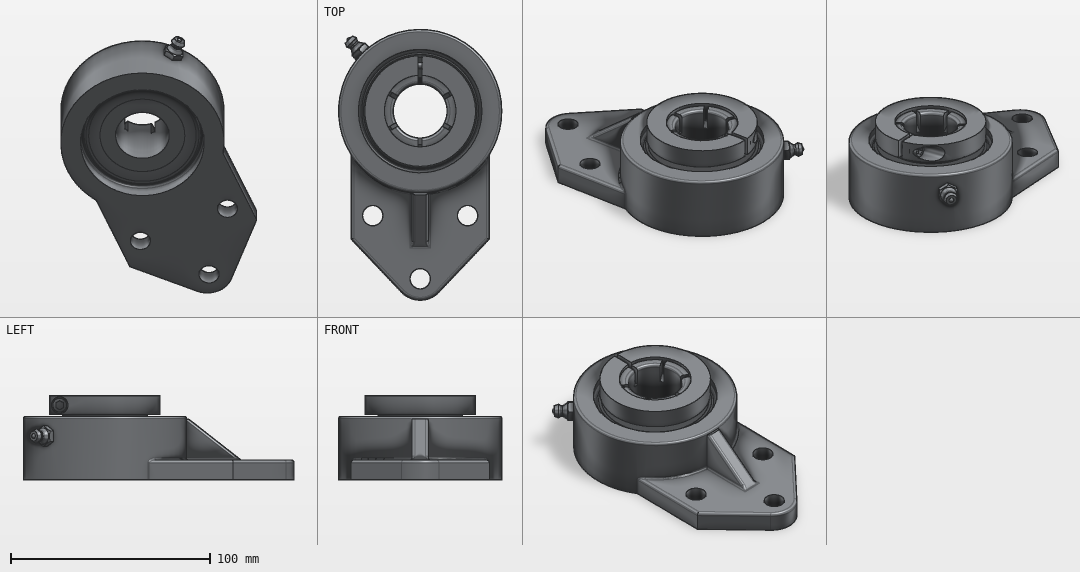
import cadquery as cq
import math

OVERALL_LENGTH = 136.0
BOSS_DIAMETER = 82.0
BOSS_RADIUS = BOSS_DIAMETER / 2
BOSS_HEIGHT = 32.0
BOSS_EDGE_FILLET = 1.2

PLATE_HALF_WIDTH = 34.7
PLATE_THICKNESS = 10.0
PLATE_SHOULDER_Y = -64.3
PLATE_TIP_Y = BOSS_RADIUS - OVERALL_LENGTH
PLATE_TIP_RADIUS = 12.9
PLATE_EDGE_FILLET = 1.5
FOOT_FILLET = 1.02
SELECTION_MARGIN = 0.07

BOLT_HOLE_DIAMETER = 10.0
BOLT_HOLE_HALF_SPACING = 23.8
BOLT_HOLE_Y = -52.5
TIP_HOLE_Y = -84.2

RIB_WIDTH = 8.2
RIB_EDGE_FILLET = 1.4
RIB_TOP_Z = 30.6
RIB_TOP_Y = -42.0
RIB_FOOT_Y = -68.3

SEAT_DIAMETER = 62.0
BEARING_MID_Z = 18.0
RING_FACE_OFFSET = 10.7
LEDGE_OFFSET = 10.0
RECESS_FILLET = 1.02
OUTER_RING_FACE_RADIUS = 28.4
SEAL_OUTER_DIAMETER = 54.0
SEAL_THICKNESS = 2.0

BORE_DIAMETER = 26.9
BORE_FILLET = 1.5
SHOULDER_DIAMETER = 42.5
NECK_DIAMETER = 35.9
NECK_TOP_Z = 40.7
SLOT_COUNT = 6
SLOT_WIDTH = 2.0
SLOT_FLOOR_RADIUS = 16.9
SLOT_FLOOR_DROP = 2.3

COLLAR_DIAMETER = 55.5
COLLAR_BOTTOM_Z = 32.8
COLLAR_TOP_Z = 42.3
SCREW_Y = 22.7
SCREW_Z = (COLLAR_BOTTOM_Z + COLLAR_TOP_Z) / 2
COUNTERBORE_DIAMETER = 8.3
SCREW_HEAD_DIAMETER = 7.0
SCREW_HEAD_LENGTH = 4.0
SCREW_SEAT_X = -4.8
SCREW_SHANK_DIAMETER = 3.3
SCREW_SHANK_LENGTH = 13.6
HEX_SOCKET_WIDTH = 4.0
HEX_SOCKET_DEPTH = 2.0

FITTING_ANGLE = 135.0
FITTING_Z = 22.0
FITTING_STEM_DIAMETER = 6.0
FITTING_STEM_LENGTH = 5.5
FITTING_HEX_WIDTH = 9.1
FITTING_HEX_LENGTH = 3.1
HEX_CHAMFER_SPREAD = math.tan(math.radians(60))
FITTING_CONE_DIAMETER = 8.3
FITTING_CONE_END = 4.8
FITTING_NECK_DIAMETER = 5.3
FITTING_NECK_START = 5.5
FITTING_NECK_END = 6.3
FITTING_HEAD_DIAMETER = 7.0
FITTING_HEAD_Z = 7.6
FITTING_FACE_Z = 9.7
FITTING_FACE_DIAMETER = 5.3
FITTING_TIP_RADIUS = 1.2
FITTING_TIP_HEIGHT = 0.88

SEAT_RADIUS = SEAT_DIAMETER / 2
LEDGE_TOP_Z = BEARING_MID_Z + LEDGE_OFFSET
LEDGE_BOTTOM_Z = BEARING_MID_Z - LEDGE_OFFSET
RING_TOP_Z = BEARING_MID_Z + RING_FACE_OFFSET
RING_BOTTOM_Z = BEARING_MID_Z - RING_FACE_OFFSET
LEDGE_RADIUS = math.sqrt(SEAT_RADIUS**2 - LEDGE_OFFSET**2)


def cylinder(diameter, bottom, top):
    return cq.Workplane("XY").workplane(offset=bottom).circle(diameter / 2).extrude(top - bottom)


def tube(outer_diameter, inner_diameter, bottom, top):
    return cylinder(outer_diameter, bottom, top).cut(cylinder(inner_diameter, bottom, top))


def plate():
    """Plate with straight sides, then sloping sides tangent to the rounded tip."""
    tip_center_y = PLATE_TIP_Y + PLATE_TIP_RADIUS
    dx = PLATE_HALF_WIDTH
    dy = PLATE_SHOULDER_Y - tip_center_y
    tangent_angle = math.atan2(dy, dx) - math.acos(PLATE_TIP_RADIUS / math.hypot(dx, dy))
    tangent_x = PLATE_TIP_RADIUS * math.cos(tangent_angle)
    tangent_y = tip_center_y + PLATE_TIP_RADIUS * math.sin(tangent_angle)
    return (
        cq.Workplane("XY")
        .moveTo(-PLATE_HALF_WIDTH, 0)
        .lineTo(-PLATE_HALF_WIDTH, PLATE_SHOULDER_Y)
        .lineTo(-tangent_x, tangent_y)
        .threePointArc((0, PLATE_TIP_Y), (tangent_x, tangent_y))
        .lineTo(PLATE_HALF_WIDTH, PLATE_SHOULDER_Y)
        .lineTo(PLATE_HALF_WIDTH, 0)
        .close()
        .extrude(PLATE_THICKNESS)
    )


def rib():
    """Sharp-edged web that slopes from the boss down to the plate."""
    return (
        cq.Workplane("YZ")
        .moveTo(0, 0)
        .lineTo(0, RIB_TOP_Z)
        .lineTo(RIB_TOP_Y, RIB_TOP_Z)
        .lineTo(RIB_FOOT_Y, PLATE_THICKNESS)
        .lineTo(RIB_FOOT_Y, 0)
        .close()
        .extrude(RIB_WIDTH / 2, both=True)
    )


def housing_bore():
    """Spherical seat between two ledges, with a cylindrical recess beyond each ledge."""
    seat = (
        cq.Workplane("XY", origin=(0, 0, BEARING_MID_Z))
        .sphere(SEAT_RADIUS)
        .intersect(cylinder(2 * SEAT_DIAMETER, LEDGE_BOTTOM_Z, LEDGE_TOP_Z))
    )
    upper = cylinder(SEAT_DIAMETER, LEDGE_TOP_Z, BOSS_HEIGHT).faces("<Z").edges().fillet(RECESS_FILLET)
    lower = cylinder(SEAT_DIAMETER, 0, LEDGE_BOTTOM_Z).faces(">Z").edges().fillet(RECESS_FILLET)
    return seat.union(upper).union(lower)


def place_fitting(shape):
    """Stand a shape built on the XY plane on the outside of the boss."""
    return (
        shape.rotate((0, 0, 0), (0, 1, 0), 90)
        .translate((BOSS_RADIUS, 0, FITTING_Z))
        .rotate((0, 0, 0), (0, 0, 1), FITTING_ANGLE)
    )


def fitting_stem():
    return place_fitting(cylinder(FITTING_STEM_DIAMETER, -FITTING_STEM_LENGTH, 0))


def foot_edges():
    """Select the edges where the boss and the rib meet the top of the plate."""
    reach = PLATE_HALF_WIDTH - 2 * PLATE_EDGE_FILLET
    return cq.selectors.BoxSelector(
        (-reach, RIB_FOOT_Y - FOOT_FILLET, PLATE_THICKNESS - SELECTION_MARGIN),
        (reach, -BOSS_RADIUS / 2, PLATE_THICKNESS + SELECTION_MARGIN),
    )


def rib_slope_edges():
    """Select the two sloping edges of the rib."""
    middle_y = (RIB_TOP_Y + RIB_FOOT_Y) / 2
    middle_z = (RIB_TOP_Z + PLATE_THICKNESS) / 2
    return cq.selectors.BoxSelector(
        (-RIB_WIDTH, middle_y - RIB_EDGE_FILLET, middle_z - RIB_EDGE_FILLET),
        (RIB_WIDTH, middle_y + RIB_EDGE_FILLET, middle_z + RIB_EDGE_FILLET),
    )


def make_housing():
    boss = cylinder(BOSS_DIAMETER, 0, BOSS_HEIGHT).faces(">Z").edges().fillet(BOSS_EDGE_FILLET)
    rounded_plate = plate().faces(">Z").edges("not >Y").fillet(PLATE_EDGE_FILLET)
    body = boss.union(rounded_plate).union(rib())
    body = body.edges(foot_edges()).fillet(FOOT_FILLET)
    body = body.edges(rib_slope_edges()).fillet(RIB_EDGE_FILLET)
    hole_places = [
        (-BOLT_HOLE_HALF_SPACING, BOLT_HOLE_Y),
        (BOLT_HOLE_HALF_SPACING, BOLT_HOLE_Y),
        (0, TIP_HOLE_Y),
    ]
    bolt_holes = (
        cq.Workplane("XY").pushPoints(hole_places).circle(BOLT_HOLE_DIAMETER / 2).extrude(PLATE_THICKNESS)
    )
    return body.cut(bolt_holes).cut(housing_bore()).cut(fitting_stem())


def make_outer_ring():
    """Ring with a spherical outside; a short cone leads from the sphere to each face."""
    return (
        cq.Workplane("XZ")
        .moveTo(LEDGE_RADIUS, LEDGE_BOTTOM_Z)
        .threePointArc((SEAT_RADIUS, BEARING_MID_Z), (LEDGE_RADIUS, LEDGE_TOP_Z))
        .lineTo(OUTER_RING_FACE_RADIUS, RING_TOP_Z)
        .lineTo(SHOULDER_DIAMETER / 2, RING_TOP_Z)
        .lineTo(SHOULDER_DIAMETER / 2, RING_BOTTOM_Z)
        .lineTo(OUTER_RING_FACE_RADIUS, RING_BOTTOM_Z)
        .close()
        .revolve(360, (0, 0, 0), (0, 1, 0))
    )


def make_seal(bottom):
    return tube(SEAL_OUTER_DIAMETER, SHOULDER_DIAMETER, bottom, bottom + SEAL_THICKNESS)


def neck_slots():
    """Radial slots through the neck; their floors fall as a cone from the shoulder to the bore."""
    bore_radius = BORE_DIAMETER / 2
    neck_radius = NECK_DIAMETER / 2
    slotted_zone = (
        cq.Workplane("XZ")
        .lineTo(0, NECK_TOP_Z)
        .lineTo(neck_radius, NECK_TOP_Z)
        .lineTo(neck_radius, COLLAR_BOTTOM_Z)
        .lineTo(SLOT_FLOOR_RADIUS, COLLAR_BOTTOM_Z)
        .lineTo(bore_radius, COLLAR_BOTTOM_Z - SLOT_FLOOR_DROP)
        .lineTo(0, COLLAR_BOTTOM_Z - SLOT_FLOOR_DROP)
        .close()
        .revolve(360, (0, 0, 0), (0, 1, 0))
    )
    blades = (
        cq.Workplane("XY")
        .polarArray(neck_radius / 2, 90, 360, SLOT_COUNT)
        .rect(neck_radius, SLOT_WIDTH)
        .extrude(NECK_TOP_Z)
    )
    return slotted_zone.intersect(blades)


def make_inner_ring():
    ring = (
        cylinder(SHOULDER_DIAMETER, RING_BOTTOM_Z, COLLAR_BOTTOM_Z)
        .union(cylinder(NECK_DIAMETER, COLLAR_BOTTOM_Z, NECK_TOP_Z))
        .cut(cylinder(BORE_DIAMETER, RING_BOTTOM_Z, NECK_TOP_Z))
    )
    bore_mouth = cq.selectors.RadiusNthSelector(0)
    return ring.faces(">Z").edges(bore_mouth).fillet(BORE_FILLET).cut(neck_slots())


def screw_shank():
    return (
        cq.Workplane("YZ", origin=(SCREW_SEAT_X, SCREW_Y, SCREW_Z))
        .circle(SCREW_SHANK_DIAMETER / 2)
        .extrude(SCREW_SHANK_LENGTH)
    )


def make_collar():
    """Ring split at +Y, with the screw crossing the split along X."""
    collar = tube(COLLAR_DIAMETER, NECK_DIAMETER, COLLAR_BOTTOM_Z, COLLAR_TOP_Z)
    split = cq.Workplane("XY").box(
        SLOT_WIDTH, COLLAR_DIAMETER, COLLAR_TOP_Z, centered=(True, False, False)
    )
    counterbore = (
        cq.Workplane("YZ", origin=(SCREW_SEAT_X, SCREW_Y, SCREW_Z))
        .circle(COUNTERBORE_DIAMETER / 2)
        .extrude(-COLLAR_DIAMETER / 2)
    )
    return collar.cut(split).cut(counterbore).cut(screw_shank())


def make_screw():
    """Socket-head screw with its head towards -X."""
    head = (
        cq.Workplane("YZ", origin=(SCREW_SEAT_X, SCREW_Y, SCREW_Z))
        .circle(SCREW_HEAD_DIAMETER / 2)
        .extrude(-SCREW_HEAD_LENGTH)
    )
    socket = (
        cq.Workplane("YZ", origin=(SCREW_SEAT_X - SCREW_HEAD_LENGTH, SCREW_Y, SCREW_Z))
        .polygon(6, HEX_SOCKET_WIDTH, circumscribed=True)
        .extrude(HEX_SOCKET_DEPTH)
    )
    return head.cut(socket).union(screw_shank())


def make_grease_fitting():
    """Stem, chamfered hexagon, cone, neck and head with a domed tip."""
    cone_radius = FITTING_CONE_DIAMETER / 2
    dome_radius = (FITTING_TIP_RADIUS**2 + FITTING_TIP_HEIGHT**2) / (2 * FITTING_TIP_HEIGHT)
    hexagon = (
        cq.Workplane("XY").polygon(6, FITTING_HEX_WIDTH, circumscribed=True).extrude(FITTING_HEX_LENGTH)
    )
    spread_radius = cone_radius + FITTING_HEX_LENGTH * HEX_CHAMFER_SPREAD
    hex_chamfer = cq.Workplane("XY").add(
        cq.Solid.makeCone(spread_radius, cone_radius, FITTING_HEX_LENGTH)
    )
    nipple = (
        cq.Workplane("XZ")
        .moveTo(0, FITTING_HEX_LENGTH)
        .lineTo(cone_radius, FITTING_HEX_LENGTH)
        .lineTo(FITTING_STEM_DIAMETER / 2, FITTING_CONE_END)
        .lineTo(FITTING_NECK_DIAMETER / 2, FITTING_NECK_START)
        .lineTo(FITTING_NECK_DIAMETER / 2, FITTING_NECK_END)
        .lineTo(FITTING_HEAD_DIAMETER / 2, FITTING_HEAD_Z)
        .lineTo(FITTING_FACE_DIAMETER / 2, FITTING_FACE_Z)
        .lineTo(FITTING_TIP_RADIUS, FITTING_FACE_Z)
        .radiusArc((0, FITTING_FACE_Z + FITTING_TIP_HEIGHT), -dome_radius)
        .close()
        .revolve(360, (0, 0, 0), (0, 1, 0))
    )
    corner_up = 30
    outside = hexagon.intersect(hex_chamfer).union(nipple).rotate((0, 0, 0), (0, 0, 1), corner_up)
    return place_fitting(outside).union(fitting_stem())


housing = make_housing()
outer_ring = make_outer_ring()
seals = [make_seal(bottom) for bottom in (RING_BOTTOM_Z, RING_TOP_Z - SEAL_THICKNESS)]
for seal in seals:
    outer_ring = outer_ring.cut(seal)
inner_ring = make_inner_ring()
collar = make_collar()
screw = make_screw()
grease_fitting = make_grease_fitting()

result = cq.Compound.makeCompound(
    [
        housing.val(),
        outer_ring.val(),
        *[seal.val() for seal in seals],
        inner_ring.val(),
        collar.val(),
        screw.val(),
        grease_fitting.val(),
    ]
)